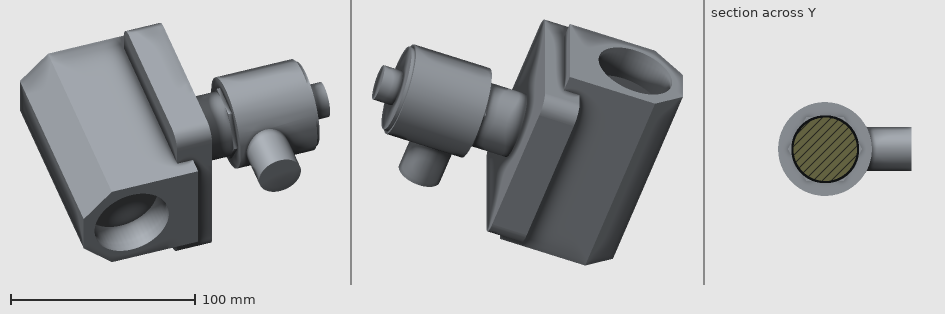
import cadquery as cq
import math

block_length = 110.0
block_height = 55.0
block_depth = 65.5
block_bevel = 16.1
bore_diameter = 42.6
bore_depth = 19.0

flange_width = 92.0
flange_thickness = 20.0
flange_corner_radius = 9.0
flange_overlap = 9.0

neck_diameter = 36.0
neck_length = 21.2
hex_across_flats = 35.0
hex_across_corners = hex_across_flats / math.cos(math.pi / 6)
hex_thickness = 2.0

coil_diameter = 51.0
coil_length = 43.8
disc_diameter = 47.4
disc_thickness = 2.0
tip_diameter = 19.6
tip_length = 10.57
connector_diameter = 24.0
connector_reach = 47.0
connector_offset = 15.3

block_front = -block_height / 2
block_back = block_front + block_depth
flange_front = block_back - flange_overlap
neck_start = flange_front + flange_thickness
hex_start = neck_start + neck_length
coil_start = hex_start + hex_thickness
disc_start = coil_start + coil_length
tip_start = disc_start + disc_thickness


def plane_at(y):
    """Sketch plane facing +Y, with its local X along -X and local Y along Z."""
    return cq.Workplane(cq.Plane(origin=(0, y, 0), xDir=(-1, 0, 0), normal=(0, 1, 0)))


def cylinder(y, diameter, length):
    """Round bar about the Y axis, running toward +Y from the given station."""
    return plane_at(y).circle(diameter / 2).extrude(length)


def make_valve_body():
    block = (
        cq.Workplane("XY")
        .box(block_length, block_depth, block_height)
        .translate((0, block_front + block_depth / 2, 0))
        .edges("|X and <Y")
        .chamfer(block_bevel)
    )
    flange = (
        plane_at(flange_front)
        .rect(flange_width, flange_width)
        .extrude(flange_thickness)
        .edges("|Y")
        .fillet(flange_corner_radius)
    )
    body = block.union(flange).union(cylinder(neck_start, neck_diameter, neck_length))
    hex_seat = plane_at(hex_start).polygon(6, hex_across_corners).extrude(hex_thickness)
    body = body.union(hex_seat)
    for side in (-1, 1):
        bore = (
            cq.Workplane("YZ", origin=(side * block_length / 2, 0, 0))
            .circle(bore_diameter / 2)
            .extrude(-side * bore_depth)
        )
        body = body.cut(bore)
    return body


def make_coil():
    coil = cylinder(coil_start, coil_diameter, coil_length)
    coil = coil.union(cylinder(disc_start, disc_diameter, disc_thickness))
    coil = coil.union(cylinder(tip_start, tip_diameter, tip_length))
    connector = (
        cq.Workplane("YZ", origin=(0, coil_start + connector_offset, 0))
        .circle(connector_diameter / 2)
        .extrude(connector_reach)
    )
    return coil.union(connector)


valve_body = make_valve_body()
coil = make_coil()
result = cq.Compound.makeCompound([valve_body.val(), coil.val()])